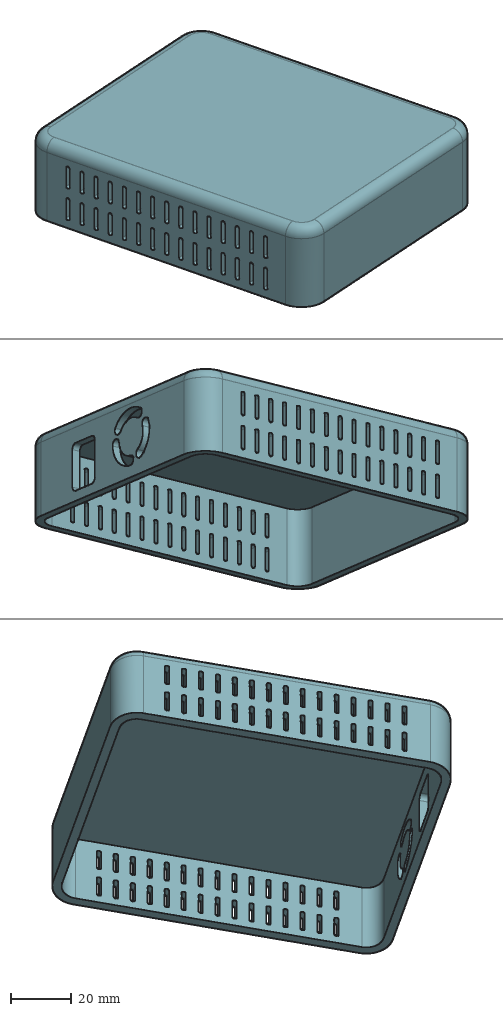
import cadquery as cq
import math

inner_length = 110.0
inner_width = 90.0
inner_corner_radius = 6.0
wall = 3.1
height = 30.0
top_edge_radius = 4.0

length = inner_length + 2 * wall
width = inner_width + 2 * wall
corner_radius = inner_corner_radius + wall
cut_overlap = 1.0

vent_columns = 15
vent_pitch = 5.8
vent_center_x = 0.3
vent_width = 1.5
vent_height = 8.3
vent_row_heights = (7.2, 19.15)

port_y = 15.7
port_z = 12.0
port_width = 12.2
port_height = 16.8
port_corner_radius = 1.8

ring_y = -10.2
ring_z = 14.3
ring_radius = 8.3
ring_slot_width = 3.5
ring_slot_angles = ((60.0, 148.5), (183.0, 267.0), (303.0, 379.5))


def rounded_block(size_x, size_y, size_z, radius):
    """Block standing on Z = 0 with rounded vertical edges."""
    block = cq.Workplane("XY").box(size_x, size_y, size_z, centered=(True, True, False))
    return block.edges("|Z").fillet(radius)


def make_shell():
    """Outer body with a rounded top rim, hollowed from below."""
    body = rounded_block(length, width, height, corner_radius)
    body = body.faces(">Z").edges().fillet(top_edge_radius)
    cavity = rounded_block(inner_length, inner_width, height - wall, inner_corner_radius)
    return body.cut(cavity)


def make_vents():
    """Two rows of upright round-ended slots running through the whole width."""
    half_span = (vent_columns - 1) * vent_pitch / 2
    centers = [
        (vent_center_x + column * vent_pitch - half_span, row_height)
        for row_height in vent_row_heights
        for column in range(vent_columns)
    ]
    slots = cq.Workplane("XZ").pushPoints(centers).slot2D(vent_height, vent_width, 90)
    return slots.extrude(width / 2 + cut_overlap, both=True)


def left_wall_plane(y, z):
    """Workplane just outside the -X wall, facing outward, with local x along -Y."""
    plane = cq.Plane(
        origin=(-length / 2 - cut_overlap, y, z),
        xDir=(0, -1, 0),
        normal=(-1, 0, 0),
    )
    return cq.Workplane(plane)


def make_port():
    """Rounded rectangular opening through the -X wall."""
    port = left_wall_plane(port_y, port_z).rect(port_width, port_height)
    port = port.extrude(-(wall + 2 * cut_overlap))
    return port.edges("|X").fillet(port_corner_radius)


def polar(radius, angle):
    """Point at the given radius and angle in degrees."""
    return (radius * math.cos(math.radians(angle)), radius * math.sin(math.radians(angle)))


def make_ring_slot(start_angle, end_angle):
    """One curved slot with round ends, cut through the -X wall."""
    middle_angle = (start_angle + end_angle) / 2
    cap_radius = ring_slot_width / 2
    cap_angle = math.degrees(math.atan(cap_radius / ring_radius))
    cap_tip = math.hypot(ring_radius, cap_radius)
    outer = ring_radius + cap_radius
    inner = ring_radius - cap_radius
    slot = (
        left_wall_plane(ring_y, ring_z)
        .moveTo(*polar(outer, start_angle))
        .threePointArc(polar(outer, middle_angle), polar(outer, end_angle))
        .threePointArc(polar(cap_tip, end_angle + cap_angle), polar(inner, end_angle))
        .threePointArc(polar(inner, middle_angle), polar(inner, start_angle))
        .threePointArc(polar(cap_tip, start_angle - cap_angle), polar(outer, start_angle))
        .close()
    )
    return slot.extrude(-(wall + 2 * cut_overlap))


result = make_shell().cut(make_vents()).cut(make_port())
for slot_start, slot_end in ring_slot_angles:
    result = result.cut(make_ring_slot(slot_start, slot_end))